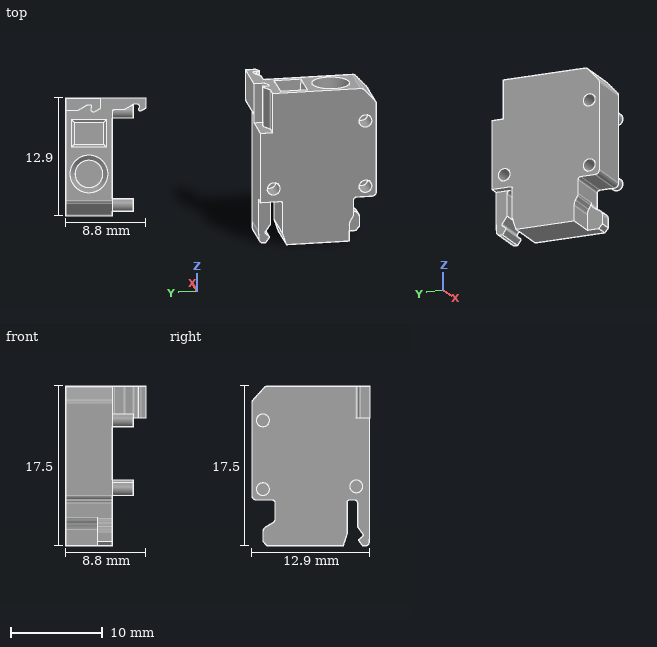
import cadquery as cq
import math

HEIGHT = 17.45
THICKNESS = 5.1
BODY_DEPTH = 12.87
SHOULDER_Z = 5.0

CHAMFER_DEPTH = 1.5
CHAMFER_DROP = 1.65
EDGE_RADIUS = 0.5

FOOT_FRONT_Y = 2.53
FOOT_BACK_Y = 10.43
FOOT_BACK_TAPER_Z = 1.35
FOOT_BACK_TAPER = 0.45
FRONT_ROOT_RADIUS = 0.3
BACK_ROOT_RADIUS = 0.2

RAMP_ANGLE = math.radians(30)

CATCH_THICKNESS = 1.6
CATCH_FRONT_Y = 1.21
CATCH_ROOT_Z = 2.67
CATCH_NOSE_Z = CATCH_ROOT_Z - (FOOT_FRONT_Y - CATCH_FRONT_Y) * math.tan(RAMP_ANGLE)
CATCH_ROOT_RADIUS = 0.53
CATCH_NOSE_RADIUS = 0.65
CATCH_BEVEL_DEPTH = 0.43
CATCH_BEVEL_HEIGHT = 0.5
RELIEF_DEPTH = 0.48
RELIEF_TOP_Z = 2.95
RELIEF_BOTTOM_Z = RELIEF_TOP_Z - RELIEF_DEPTH / math.tan(RAMP_ANGLE)
RELIEF_TOP_RADIUS = 0.5
RELIEF_BOTTOM_RADIUS = 1.15

LEG_START_X = 1.1
LEG_INNER_Y = 11.54
LEG_ROOT_RADIUS = 0.35
LEG_RAMP_Z = 2.09
LEG_NOTCH = (12.2, 1.14)
LEG_NOTCH_RADIUS = 0.15
LEG_BARB = (11.62, 0.66)
LEG_BARB_RADIUS = 0.1
LEG_END_Y = 12.09
LEG_TIP_RADIUS = 0.45
LEG_LEAN_Z = 1.3
LEG_LEAN = 0.06

PIN_DIAMETER = 1.4
PIN_LENGTH = 2.3
HOLE_DEPTH = 2.4
PIN_CENTRES = [(1.21, 13.7), (1.21, 6.2), (11.4, 6.5)]

OPENING_X = THICKNESS / 2
OPENING_DEPTH = 3.5
SQUARE_Y = 9.03
SQUARE_MOUTH = (3.78, 2.98)
SQUARE_TAPER = 0.3
SQUARE_FLOOR = tuple(side - 2 * SQUARE_TAPER for side in SQUARE_MOUTH)
WIRE_Y = 4.6
WIRE_MOUTH_DIAMETER = 4.12
WIRE_FLOOR_DIAMETER = 3.0

HOOK_REACH_X = 8.8
HOOK_BACK_Y = 12.9
HOOK_HEIGHT = 3.5
SOCKET_HEIGHT = 4.5
SOCKET_CLEARANCE = 0.1
HOOK_ARM_Y = 11.62
HOOK_ROOT_RADIUS = 0.25
HOOK_START_X = HOOK_REACH_X - THICKNESS + SOCKET_CLEARANCE
HOOK_CORNER_Y = 11.8
HOOK_CORNER_RADIUS = 0.1
HOOK_BARB = (7.93, 11.31)
HOOK_LIP_START = (7.95, 11.75)
HOOK_LIP_END = (8.04, 11.84)
HOOK_NOTCH_Y = 12.21
HOOK_NOTCH_START_X = 7.42
HOOK_RAMP_START_X = 6.41
HOOK_ROUND = 0.2

HOOK_TIP = [
    (HOOK_REACH_X, HOOK_BACK_Y),
    (HOOK_REACH_X, HOOK_CORNER_Y, HOOK_CORNER_RADIUS),
    (*HOOK_BARB, HOOK_ROUND),
    HOOK_LIP_START,
    HOOK_LIP_END,
    (HOOK_LIP_END[0], HOOK_NOTCH_Y, HOOK_ROUND),
    (HOOK_NOTCH_START_X, HOOK_NOTCH_Y, HOOK_ROUND),
    (HOOK_RAMP_START_X, HOOK_ARM_Y, HOOK_ROUND),
]

OVERLAP = 0.6


def rounded_outline(plane, corners):
    """Closed outline through (u, v) or (u, v, radius) corners, rounded where a radius is given."""
    points = [corner[:2] for corner in corners]
    radii = [corner[2] if len(corner) == 3 else 0 for corner in corners]
    outline = None
    for i, (u, v) in enumerate(points):
        before = points[i - 1]
        after = points[(i + 1) % len(points)]
        to_before = cq.Vector(before[0] - u, before[1] - v).normalized()
        to_after = cq.Vector(after[0] - u, after[1] - v).normalized()
        half_angle = to_before.getAngle(to_after) / 2
        corner = cq.Vector(u, v)
        tangent = radii[i] / math.tan(half_angle)
        arc_start = corner + to_before * tangent
        start = (arc_start.x, arc_start.y)
        outline = outline.lineTo(*start) if outline else cq.Workplane(plane).moveTo(*start)
        if radii[i]:
            arc_end = corner + to_after * tangent
            bisector = (to_before + to_after).normalized()
            arc_middle = corner + bisector * (radii[i] / math.sin(half_angle) - radii[i])
            outline = outline.threePointArc((arc_middle.x, arc_middle.y), (arc_end.x, arc_end.y))
    return outline.close()


def housing():
    """Upper housing and rail foot, one profile through the full thickness."""
    corners = [
        (BODY_DEPTH, HEIGHT),
        (CHAMFER_DEPTH, HEIGHT, EDGE_RADIUS),
        (0, HEIGHT - CHAMFER_DROP, EDGE_RADIUS),
        (0, SHOULDER_Z, EDGE_RADIUS),
        (FOOT_FRONT_Y, SHOULDER_Z, FRONT_ROOT_RADIUS),
        (FOOT_FRONT_Y, 0),
        (FOOT_BACK_Y - FOOT_BACK_TAPER, 0),
        (FOOT_BACK_Y, FOOT_BACK_TAPER_Z),
        (FOOT_BACK_Y, SHOULDER_Z, BACK_ROOT_RADIUS),
        (BODY_DEPTH, SHOULDER_Z),
    ]
    return rounded_outline("YZ", corners).extrude(THICKNESS)


def rail_catch():
    """Forward nose that hooks under the rail, on the +X part of the foot."""
    corners = [
        (FOOT_FRONT_Y + OVERLAP, 0),
        (CATCH_FRONT_Y + CATCH_BEVEL_DEPTH, 0),
        (CATCH_FRONT_Y, CATCH_BEVEL_HEIGHT),
        (CATCH_FRONT_Y, CATCH_NOSE_Z, CATCH_NOSE_RADIUS),
        (FOOT_FRONT_Y, CATCH_ROOT_Z, CATCH_ROOT_RADIUS),
        (FOOT_FRONT_Y, SHOULDER_Z - OVERLAP),
        (FOOT_FRONT_Y + OVERLAP, SHOULDER_Z - OVERLAP),
    ]
    catch = rounded_outline("YZ", corners).extrude(CATCH_THICKNESS)
    return catch.translate((THICKNESS - CATCH_THICKNESS, 0, 0))


def catch_relief():
    """Cut that sets the foot back beside the catch, clearing the next terminal's catch."""
    relief_y = FOOT_FRONT_Y + RELIEF_DEPTH
    corners = [
        (relief_y, -OVERLAP),
        (relief_y, RELIEF_BOTTOM_Z, RELIEF_BOTTOM_RADIUS),
        (FOOT_FRONT_Y, RELIEF_TOP_Z, RELIEF_TOP_RADIUS),
        (FOOT_FRONT_Y, SHOULDER_Z - OVERLAP),
        (FOOT_FRONT_Y - OVERLAP, SHOULDER_Z - OVERLAP),
        (FOOT_FRONT_Y - OVERLAP, -OVERLAP),
    ]
    return rounded_outline("YZ", corners).extrude(THICKNESS - CATCH_THICKNESS)


def spring_leg():
    """Flexible leg with a barbed tip, hanging from the back of the housing."""
    corners = [
        (BODY_DEPTH, SHOULDER_Z + OVERLAP),
        (BODY_DEPTH, LEG_LEAN_Z),
        (BODY_DEPTH - LEG_LEAN, 0, LEG_TIP_RADIUS),
        (LEG_END_Y, 0),
        (*LEG_BARB, LEG_BARB_RADIUS),
        (*LEG_NOTCH, LEG_NOTCH_RADIUS),
        (LEG_INNER_Y, LEG_RAMP_Z),
        (LEG_INNER_Y, SHOULDER_Z, LEG_ROOT_RADIUS),
        (LEG_INNER_Y - OVERLAP, SHOULDER_Z),
        (LEG_INNER_Y - OVERLAP, SHOULDER_Z + OVERLAP),
    ]
    leg = rounded_outline("YZ", corners).extrude(THICKNESS - LEG_START_X)
    return leg.translate((LEG_START_X, 0, 0))


def side_hook():
    """Hook reaching out in +X, level with the top."""
    inside_y = HOOK_ARM_Y - OVERLAP
    corners = [(HOOK_START_X, HOOK_BACK_Y)] + HOOK_TIP + [
        (THICKNESS, HOOK_ARM_Y, HOOK_ROOT_RADIUS),
        (THICKNESS, inside_y),
        (HOOK_START_X, inside_y),
    ]
    hook = rounded_outline("XY", corners).extrude(HOOK_HEIGHT)
    return hook.translate((0, 0, HEIGHT - HOOK_HEIGHT))


def hook_socket():
    """Cut matching the neighbour's hook, grown by the clearance."""
    open_x = THICKNESS - OVERLAP
    corners = HOOK_TIP + [(open_x, HOOK_ARM_Y), (open_x, HOOK_BACK_Y)]
    outline = rounded_outline("XY", corners).offset2D(SOCKET_CLEARANCE)
    socket = outline.extrude(SOCKET_HEIGHT + OVERLAP)
    return socket.translate((-THICKNESS, 0, HEIGHT - SOCKET_HEIGHT))


def side_cylinders(start_x, length):
    """One cylinder along +X at each pin centre."""
    plane = cq.Workplane("YZ", origin=(start_x, 0, 0))
    return plane.pushPoints(PIN_CENTRES).circle(PIN_DIAMETER / 2).extrude(length)


def square_opening():
    """Tapered rectangular pocket in the top."""
    mouth = cq.Workplane("XY", origin=(OPENING_X, SQUARE_Y, HEIGHT)).rect(*SQUARE_MOUTH)
    return mouth.workplane(offset=-OPENING_DEPTH).rect(*SQUARE_FLOOR).loft()


def wire_opening():
    """Conical wire entry in the top."""
    cone = cq.Solid.makeCone(
        WIRE_MOUTH_DIAMETER / 2,
        WIRE_FLOOR_DIAMETER / 2,
        OPENING_DEPTH,
        pnt=cq.Vector(OPENING_X, WIRE_Y, HEIGHT),
        dir=cq.Vector(0, 0, -1),
    )
    return cq.Workplane(cone)


body = housing().cut(catch_relief()).union(rail_catch()).union(spring_leg())
body = body.cut(hook_socket()).union(side_hook())
body = body.cut(square_opening()).cut(wire_opening())
pins = side_cylinders(THICKNESS - OVERLAP, PIN_LENGTH + OVERLAP)
result = body.cut(side_cylinders(0, HOLE_DEPTH)).union(pins)